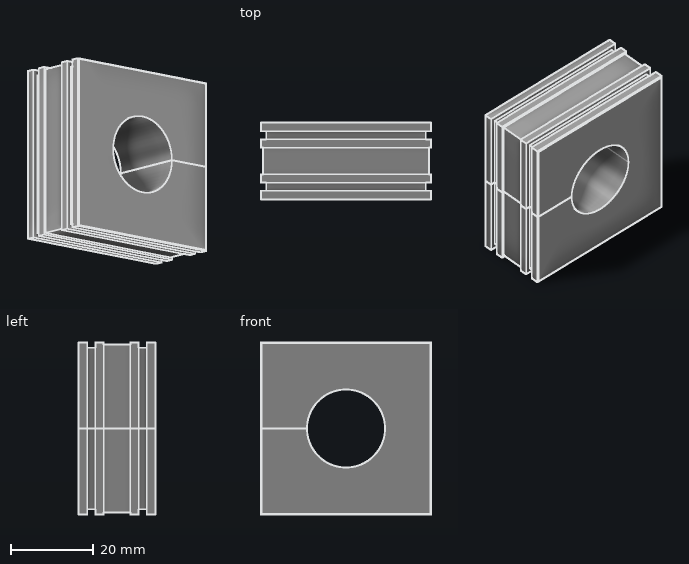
import cadquery as cq

width = 41.5
depth = 19.0
height = 42.0

bore_diameter = 19.0
slit_width = 0.1

center_recess_width = 6.55
center_recess_depth = 0.5
rib_width = 1.97
groove_width = 1.97
groove_depth = 1.25
groove_offset = center_recess_width / 2 + rib_width + groove_width / 2

face_chamfer = 0.2


def perimeter_recess(y_center, recess_width, recess_depth):
    """Rectangular ring that lowers all four outer sides over a band of the depth."""
    outer = cq.Workplane("XY").box(width, recess_width, height)
    core = cq.Workplane("XY").box(width - 2 * recess_depth, recess_width, height - 2 * recess_depth)
    return outer.cut(core).translate((0, y_center, 0))


body = cq.Workplane("XY").box(width, depth, height)
body = body.faces("<Y or >Y").edges().chamfer(face_chamfer)

body = body.cut(perimeter_recess(0, center_recess_width, center_recess_depth))
for side in (-1, 1):
    body = body.cut(perimeter_recess(side * groove_offset, groove_width, groove_depth))

bore = cq.Workplane("XZ").circle(bore_diameter / 2).extrude(depth / 2, both=True)
body = body.cut(bore)

slit = cq.Workplane("XY").box(width / 2, depth, slit_width).translate((-width / 4, 0, 0))
result = body.cut(slit)